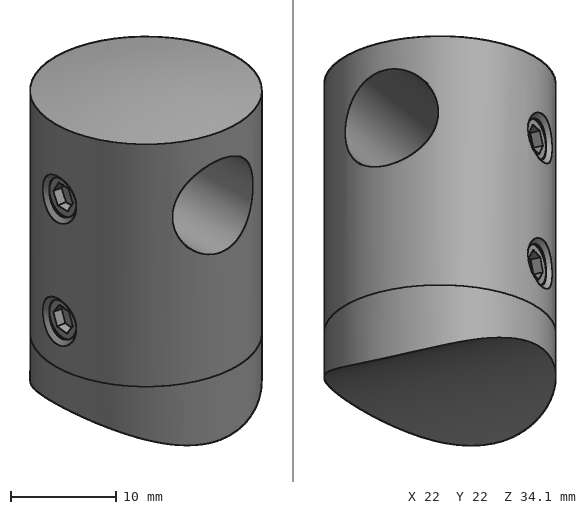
import cadquery as cq
import math

HEIGHT = 34.08
DIAMETER = 22.0
RADIUS = DIAMETER / 2
DOME_HEIGHT = 1.05
SEAM_Z = 7.05

SADDLE_TUBE_RADIUS = 21.2
SADDLE_TUBE_Z = -math.sqrt(SADDLE_TUBE_RADIUS**2 - RADIUS**2)

BORE_DIAMETER = 10.0
BORE_Z = 25.08

SCREW_DIAMETER = 4.0
SCREW_FACE_DEPTH = 0.7
MOUTH_CHAMFER = 0.48
HEX_ACROSS_FLATS = 2.5
HEX_ACROSS_CORNERS = HEX_ACROSS_FLATS / math.cos(math.pi / 6)
HEX_DEPTH = 1.02
LOWER_SCREW_Z = 12.0
SCREWS = [(BORE_Z, -3), (LOWER_SCREW_Z, -8)]


def make_saddle():
    """Lower disc with its underside hollowed to fit the tube."""
    tube = (
        cq.Workplane("XZ", origin=(0, 0, SADDLE_TUBE_Z))
        .circle(SADDLE_TUBE_RADIUS)
        .extrude(RADIUS, both=True)
    )
    return cq.Workplane("XY").circle(RADIUS).extrude(SEAM_Z).cut(tube)


def make_domed_cylinder():
    """Revolved housing blank with a shallow spherical top."""
    dome_radius = (RADIUS**2 + DOME_HEIGHT**2) / (2 * DOME_HEIGHT)
    dome_center_z = HEIGHT - dome_radius
    mid_x = RADIUS / 2
    mid_z = dome_center_z + math.sqrt(dome_radius**2 - mid_x**2)
    return (
        cq.Workplane("XZ")
        .moveTo(0, SEAM_Z)
        .lineTo(RADIUS, SEAM_Z)
        .lineTo(RADIUS, HEIGHT - DOME_HEIGHT)
        .threePointArc((mid_x, mid_z), (0, HEIGHT))
        .close()
        .revolve(360, (0, 0), (0, 1))
    )


def cut_screw_recess(housing, screw_z, hex_turn):
    """Recess with a chamfered mouth down to the screw face, with a hexagon socket in that face."""
    face_y = SCREW_FACE_DEPTH - RADIUS
    face_plane = cq.Workplane("XZ", origin=(0, face_y, screw_z))
    recess = face_plane.circle(SCREW_DIAMETER / 2).extrude(SCREW_DIAMETER)
    mouth_box = cq.selectors.BoxSelector(
        (-SCREW_DIAMETER, -RADIUS, screw_z - SCREW_DIAMETER),
        (SCREW_DIAMETER, face_y - SCREW_FACE_DEPTH / 2, screw_z + SCREW_DIAMETER),
    )
    housing = housing.cut(recess)
    housing = housing.edges(mouth_box).edges("not %LINE").chamfer(MOUTH_CHAMFER)
    socket = (
        face_plane.transformed(rotate=(0, 0, hex_turn))
        .polygon(6, HEX_ACROSS_CORNERS)
        .extrude(-HEX_DEPTH)
    )
    return housing.cut(socket)


def make_housing():
    """Domed cylinder with the cross bore and two set-screw recesses."""
    bore = (
        cq.Workplane("YZ", origin=(0, 0, BORE_Z))
        .circle(BORE_DIAMETER / 2)
        .extrude(RADIUS, both=True)
    )
    housing = make_domed_cylinder().cut(bore)
    for screw_z, hex_turn in SCREWS:
        housing = cut_screw_recess(housing, screw_z, hex_turn)
    return housing


saddle = make_saddle()
housing = make_housing()
result = cq.Compound.makeCompound([saddle.val(), housing.val()])